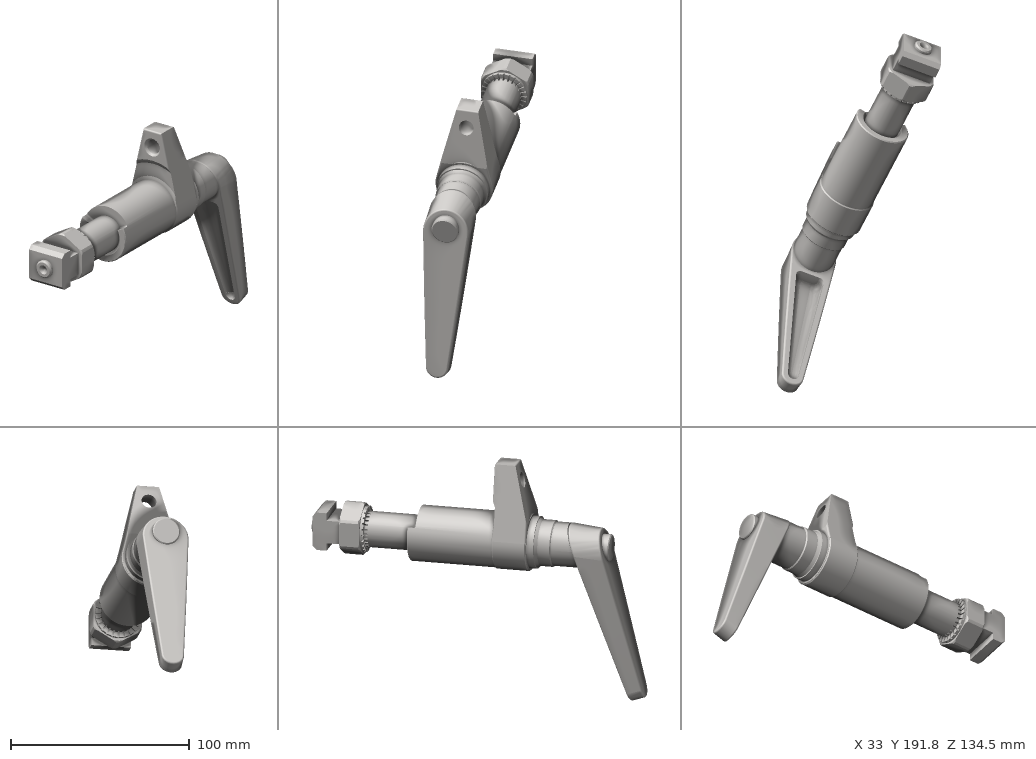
import cadquery as cq
import math


tip_radius = 5.2
tip_dimple_radius = 2.7
tip_dimple_depth = 2.3
tip_chamfer = 0.8
head_front = 2.3
head_back = 10.4
head_width = 22.6
head_height = 22.0
head_chamfer = 2.3
neck_height = 13.2

nut_front = 18.0
nut_back = 29.7
nut_across_flats = 27.5
nut_corner_radius = 15.3
nut_end_chamfer = 0.8
washer_back = 31.7
washer_radius = 13.0
serration_front = 30.7
serration_back = 33.5
serration_root_radius = 8.2
serration_count = 24
serration_gap = 1.0

shaft_radius = 10.2
sleeve_front = 57.5
sleeve_radius = 16.0
sleeve_mouth_radius = 11.9
sleeve_chamfer = 0.5
notch_depth = 4.6
notch_half_angle = 62
notch_fillet = 1.0

collar_front = 106.5
collar_back = 126.2
collar_radius = 16.5
collar_chamfer = 0.8
lug_front = 106.0
lug_recess_back = 107.5
lug_top = 46.0
lug_top_width = 12.5
lug_top_back = 118.0
lug_base_back = 125.7
lug_base_z = 16.3
lug_edge_fillet = 1.0
recess_inner_radius = 25.5
recess_outer_radius = 28.0
lug_root_radius = 17.7
lug_hole_z = 36.0
lug_hole_radius = 4.2
lug_countersink_radius = 5.4

ring_back = 130.3
ring_radius = 14.8
flare_back = 132.2
flare_radius = 14.0
hub_back = 139.7
hub_diameter = 26.3
hub_radius = hub_diameter / 2
hub_chamfer = 0.5
stem_back = 157.3
stem_radius = 12.5
cap_back = 172.0
cap_radius = 7.7
cap_chamfer = 0.5

lever_top_front = (147.3, 12.7)
lever_top_back = (166.2, 10.7)
lever_tip_front = (183.8, -88.8)
lever_tip_back = (192.0, -86.0)
lever_front = (lever_top_front, lever_tip_front)
lever_back = (lever_top_back, lever_tip_back)
lever_hub_diameter = 27.5
lever_hub_radius = lever_hub_diameter / 2
lever_tip_radius = 6.5
lever_draft = 0.03
lever_edge_fillet = 1.0
lever_trim_margin = 9.5

pocket_top_z = -15.0
pocket_tip_z = -82.1
pocket_top_half_width = 8.6
pocket_tip_half_width = 3.3
pocket_top_floor_half_width = 3.3
pocket_tip_floor_half_width = 0.2
pocket_top_depth = 7.7
pocket_tip_depth = 4.2
pocket_top_fillet = 2.9


def turned(start, end, radius):
    """Solid cylinder on the Y axis between two Y stations."""
    return cq.Workplane("XZ", origin=(0, start, 0)).circle(radius).extrude(start - end)


def block(width, start, end, bottom, top):
    """Box centred on X between two Y stations and two heights."""
    return (
        cq.Workplane("XY")
        .box(width, end - start, top - bottom, centered=(True, False, False))
        .translate((0, start, bottom))
    )


def cone(start, end, start_radius, end_radius):
    """Solid cone frustum on the Y axis."""
    solid = cq.Solid.makeCone(
        start_radius, end_radius, end - start, pnt=(0, start, 0), dir=(0, 1, 0)
    )
    return cq.Workplane(solid)


def line_at(start, end, z):
    """Y of the straight (Y, Z) line through two points at height z."""
    return start[0] + (end[0] - start[0]) * (z - start[1]) / (end[1] - start[1])


def slab_between(front, back):
    """Prism along X filling the space between two (Y, Z) lines."""
    high = 2 * lever_hub_radius
    low = lever_tip_front[1] - lever_trim_margin
    outline = [
        (line_at(*front, high), high),
        (line_at(*back, high), high),
        (line_at(*back, low), low),
        (line_at(*front, low), low),
    ]
    return cq.Workplane("YZ").polyline(outline).close().extrude(high, both=True)


def make_clamp_head():
    """T-slot head on a flat neck, with the dimpled screw tip."""
    tip = turned(0, head_back, tip_radius).faces("<Y").chamfer(tip_chamfer)
    head = block(head_width, head_front, head_back, -head_height / 2, head_height / 2)
    head = head.faces("<Y").edges("|X").chamfer(head_chamfer)
    neck = block(head_width, head_front, nut_back, -neck_height / 2, neck_height / 2)
    dimple = cone(0, tip_dimple_depth, tip_dimple_radius, 0)
    return head.union(neck).union(tip).cut(dimple)


def make_nut():
    """Hexagon nut with rounded corners up and down, and serrations behind it."""
    hexagon = (
        cq.Workplane("XZ", origin=(0, nut_front, 0))
        .polygon(6, nut_across_flats / math.cos(math.pi / 6))
        .extrude(nut_front - nut_back)
        .rotate((0, 0, 0), (0, 1, 0), 30)
    )
    envelope = turned(nut_front, nut_back, nut_corner_radius).edges().chamfer(nut_end_chamfer)
    nut = hexagon.intersect(envelope).union(turned(nut_back, washer_back, washer_radius))
    nut = nut.union(turned(washer_back, serration_back, shaft_radius))
    gap = block(
        serration_gap, serration_front, serration_back, serration_root_radius, nut_corner_radius
    )
    for index in range(serration_count):
        nut = nut.cut(gap.rotate((0, 0, 0), (0, 1, 0), index * 360 / serration_count))
    return nut


def make_sleeve():
    """Sleeve with a notched front end, filled by the shaft that runs to the nut."""
    sleeve = turned(sleeve_front, collar_back, sleeve_radius).faces("<Y").chamfer(sleeve_chamfer)
    mouth_back = sleeve_front + sleeve_mouth_radius - shaft_radius
    mouth = cone(sleeve_front, mouth_back, sleeve_mouth_radius, shaft_radius)
    reach_x = 2 * sleeve_radius
    reach_z = reach_x / math.tan(math.radians(notch_half_angle))
    sector = [
        (0, 0),
        (reach_x, reach_z),
        (reach_x, reach_x),
        (-reach_x, reach_x),
        (-reach_x, reach_z),
    ]
    notch = cq.Workplane("XZ", origin=(0, sleeve_front, 0)).polyline(sector).close()
    notch = notch.extrude(-notch_depth)
    notch = notch.faces(">Y").edges("not(|X or |Z)").fillet(notch_fillet)
    shaft = turned(serration_back, collar_back, shaft_radius)
    return sleeve.cut(mouth).cut(notch).union(shaft)


def make_lug():
    """Tapered lug on the collar with a countersunk hole and a recess around the axis."""
    top_half_width = lug_top_width / 2
    corner_distance = math.hypot(top_half_width, lug_top)
    tangent_angle = math.atan2(lug_top, top_half_width) - math.acos(collar_radius / corner_distance)
    tangent_x = collar_radius * math.cos(tangent_angle)
    tangent_z = collar_radius * math.sin(tangent_angle)
    outline = [
        (-tangent_x, tangent_z),
        (-top_half_width, lug_top),
        (top_half_width, lug_top),
        (tangent_x, tangent_z),
    ]
    plate = cq.Workplane("XZ", origin=(0, lug_front, 0)).polyline(outline).close()
    plate = plate.extrude(lug_front - collar_back)
    base_back = (lug_base_back, lug_base_z)
    top_back = (lug_top_back, lug_top)
    side = [
        (lug_front, 0),
        (lug_front, lug_top),
        top_back,
        (line_at(base_back, top_back, 0), 0),
    ]
    wedge = cq.Workplane("YZ").polyline(side).close().extrude(collar_radius, both=True)
    lug = plate.intersect(wedge)
    flank_edges = lug.faces("<Y or >Y").edges("not(|X)")
    lug = flank_edges.add(lug.faces(">Z").edges("|X")).fillet(lug_edge_fillet)
    recess = cone(lug_front, lug_recess_back, recess_outer_radius, recess_inner_radius)
    hole = turned(lug_front, collar_back, lug_hole_radius).translate((0, 0, lug_hole_z))
    sink_depth = lug_countersink_radius - lug_hole_radius
    sink = cone(lug_front, lug_front + sink_depth, lug_countersink_radius, lug_hole_radius)
    root = cone(collar_front, lug_recess_back, sleeve_radius, lug_root_radius).intersect(plate)
    return lug.cut(recess).cut(hole).cut(sink.translate((0, 0, lug_hole_z))).union(root)


def make_hub():
    """Collar, stepped hub, stem up to the lever and the cap behind it."""
    collar = turned(collar_front, collar_back, collar_radius).edges().chamfer(collar_chamfer)
    steps = turned(collar_back, ring_back, ring_radius)
    steps = steps.union(cone(ring_back, flare_back, flare_radius, hub_radius))
    steps = steps.union(turned(ring_back, hub_back, hub_radius).faces(">Y").chamfer(hub_chamfer))
    before_lever = slab_between(((collar_back, 2), (collar_back, 0)), lever_front)
    steps = steps.union(turned(hub_back, stem_back, stem_radius).intersect(before_lever))
    cap = turned(stem_back, cap_back, cap_radius).faces(">Y").chamfer(cap_chamfer)
    return collar.union(steps).union(cap)


def lever_section(y):
    """Wire of the lever at one Y station: two circles joined by their outer tangents."""
    hub_slope = (lever_top_back[1] - lever_top_front[1]) / (lever_top_back[0] - lever_top_front[0])
    tip_slope = (lever_tip_back[1] - lever_tip_front[1]) / (lever_tip_back[0] - lever_tip_front[0])
    hub_r = lever_hub_radius - lever_draft * (y - lever_top_front[0])
    tip_r = lever_tip_radius - lever_draft * (y - lever_tip_front[0])
    hub_top = lever_top_front[1] + hub_slope * (y - lever_top_front[0])
    tip_bottom = lever_tip_front[1] + tip_slope * (y - lever_tip_front[0])
    hub_z = hub_top - hub_r
    tip_z = tip_bottom + tip_r
    angle = math.asin((hub_r - tip_r) / (hub_z - tip_z))
    hub_x = hub_r * math.cos(angle)
    hub_side = hub_z - hub_r * math.sin(angle)
    tip_x = tip_r * math.cos(angle)
    tip_side = tip_z - tip_r * math.sin(angle)
    return (
        cq.Workplane("XZ", origin=(0, y, 0))
        .moveTo(-hub_x, hub_side)
        .threePointArc((0, hub_top), (hub_x, hub_side))
        .lineTo(tip_x, tip_side)
        .threePointArc((0, tip_bottom), (-tip_x, tip_side))
        .close()
        .val()
    )


def pocket_section(z, half_width, floor_half_width, depth):
    """Wire of the pocket at one height: open-topped trough with rounded floor corners."""
    rim = line_at(*lever_front, z)
    floor = rim + depth
    corner = half_width - floor_half_width
    inset = corner * (1 - math.sqrt(0.5))
    return (
        cq.Workplane("XY", origin=(0, 0, z))
        .moveTo(-half_width, rim - depth)
        .lineTo(half_width, rim - depth)
        .lineTo(half_width, floor - corner)
        .threePointArc((half_width - inset, floor - inset), (floor_half_width, floor))
        .lineTo(-floor_half_width, floor)
        .threePointArc((inset - half_width, floor - inset), (-half_width, floor - corner))
        .close()
        .val()
    )


def make_pocket():
    """Tapered trough closed by a ball end near the tip of the lever."""
    top = pocket_section(
        pocket_top_z, pocket_top_half_width, pocket_top_floor_half_width, pocket_top_depth
    )
    tip = pocket_section(
        pocket_tip_z, pocket_tip_half_width, pocket_tip_floor_half_width, pocket_tip_depth
    )
    trough = cq.Workplane(cq.Solid.makeLoft([top, tip], True))
    trough = trough.faces(">Z").edges("not(<Y)").fillet(pocket_top_fillet)
    top_floor_y = line_at(*lever_front, pocket_top_z) + pocket_top_depth
    tip_rim = line_at(*lever_front, pocket_tip_z)
    tip_floor_y = tip_rim + pocket_tip_depth
    floor_angle = math.atan2(tip_floor_y - top_floor_y, pocket_top_z - pocket_tip_z)
    ball_y = tip_floor_y - pocket_tip_half_width / math.cos(floor_angle)
    rounded_end = turned(tip_rim - pocket_tip_depth, ball_y, pocket_tip_half_width)
    ball = cq.Workplane("XY", origin=(0, ball_y, 0)).sphere(pocket_tip_half_width)
    rounded_end = rounded_end.union(ball)
    return trough.union(rounded_end.translate((0, 0, pocket_tip_z)))


def make_lever():
    """Slanted lever, trimmed by its front and back planes, with the pocket sunk in."""
    first_station = lever_top_front[0] - lever_trim_margin
    last_station = lever_tip_back[0] + lever_trim_margin
    body = cq.Workplane(cq.Solid.makeLoft([lever_section(y) for y in (first_station, last_station)], True))
    lever = body.intersect(slab_between(lever_front, lever_back))
    lever = lever.faces("<Y or >Y").edges().fillet(lever_edge_fillet)
    return lever.cut(make_pocket())


result = make_lever()
for part in (make_clamp_head(), make_nut(), make_sleeve(), make_lug(), make_hub()):
    result = result.union(part)